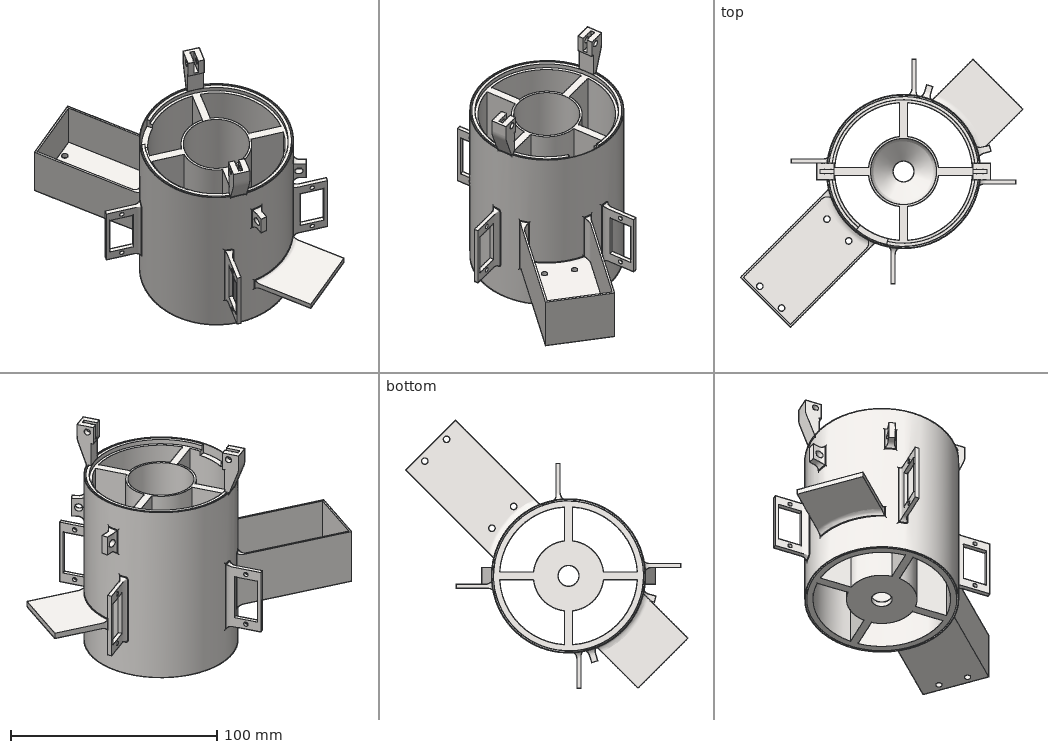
import cadquery as cq
import math

body_height = 92.0
bore_diameter = 66.7
tube_diameter = 72.8
skin_diameter = 74.8
skin_wall = 0.3
rim_inner_diameter = 69.6
rim_step = 2.3
ledge_height = body_height - rim_step
notch_start = 231.0
notch_end = 257.0
notch_depth = 4.7
root_diameter = (bore_diameter + tube_diameter) / 2
root_fillet = 4.0

nozzle_bore = 32.0
nozzle_diameter = 34.3
throat_diameter = 10.0
throat_length = 3.0
cone_slope = 43.0
cone_fillet = 5.0
spoke_width = 4.0

frame_thickness = 2.0
frame_offset = 5.1
frame_reach = 54.5
frame_height = 33.2
frame_center_z = 35.5
window_center = 46.7
window_length = 12.0
window_height = 22.7
frame_hole = 2.2
frame_hole_spacing = 27.7

tray_angle = 225.0
tray_reach = 92.2
tray_width = 34.3
tray_offset = -2.5
tray_bottom = 22.2
tray_height = 27.7
tray_wall = 1.0
floor_thickness = 3.0
tray_hole = 3.0
tray_hole_inner = 42.6
tray_hole_outer = 88.7
tray_hole_spacing = 15.0
shelf_reach = 62.4

lug_angles = (15.0, 73.0)
lug_reach = 43.6
lug_width = 3.2
lug_height = 9.9
lug_center_z = 72.0
lug_hole = 4.0
lug_hole_radius = 40.0

post_top = 113.3
post_width = 8.2
post_outer = 42.2
post_head_inner = 33.7
post_head_bottom = 104.2
post_slope_top = 105.1
post_slope_bottom = 89.4
post_bend = 10.0
slot_width = 2.0
slot_reach = 40.5
slot_depth = 8.0
hinge_hole = 3.2
hinge_radius = 36.9
hinge_z = 110.2


def cylinder(diameter, height, base=0.0):
    return cq.Workplane("XY").workplane(offset=base).circle(diameter / 2).extrude(height)


def ring(outer, inner, height, base=0.0):
    return cylinder(outer, height, base).cut(cylinder(inner, height, base))


def block(x_range, y_center, width, z_range):
    length = x_range[1] - x_range[0]
    height = z_range[1] - z_range[0]
    return cq.Workplane("XY").box(length, width, height, centered=(False, True, False)).translate(
        (x_range[0], y_center, z_range[0])
    )


def cross_hole(diameter, x, z):
    """Cylinder along Y, long enough to pass through any attached feature."""
    return (
        cq.Workplane("XZ").center(x, z).circle(diameter / 2).extrude(tray_width, both=True)
    )


def turned(shape, angle):
    return shape.rotate((0, 0, 0), (0, 0, 1), angle)


def window_frame():
    """Upright plate pointing along +X with a window and a screw hole above and below it."""
    z_low = frame_center_z - frame_height / 2
    plate = block((0, frame_reach), -frame_offset, frame_thickness, (z_low, z_low + frame_height))
    window_x = (window_center - window_length / 2, window_center + window_length / 2)
    window_z = (frame_center_z - window_height / 2, frame_center_z + window_height / 2)
    plate = plate.cut(block(window_x, -frame_offset, 2 * frame_thickness, window_z))
    for side in (-1, 1):
        hole_z = frame_center_z + side * frame_hole_spacing / 2
        plate = plate.cut(cross_hole(frame_hole, window_center, hole_z))
    return plate


def tray_hollow():
    """Space inside the tray, with rounded edges where it meets the tube."""
    hollow = block(
        (0, tray_reach - tray_wall),
        tray_offset,
        tray_width - 2 * tray_wall,
        (tray_bottom + floor_thickness, tray_bottom + tray_height + root_fillet),
    ).cut(cylinder(tube_diameter, body_height))
    corners = [edge for edge in hollow.edges("<Z or |Z").vals() if is_root_edge(edge)]
    floor_edge = [edge for edge in hollow.faces("<Z").edges().vals() if is_root_edge(edge)]
    return hollow.newObject(corners + floor_edge).fillet(root_fillet)


def tray_holes():
    hole_points = [
        (x, tray_offset + side * tray_hole_spacing / 2)
        for x in (tray_hole_inner, tray_hole_outer)
        for side in (-1, 1)
    ]
    return (
        cq.Workplane("XY").pushPoints(hole_points).circle(tray_hole / 2).extrude(body_height)
    )


def outward_block(reach, bottom, height):
    """Solid block as wide as the tray, pointing along +X."""
    return block((0, reach), tray_offset, tray_width, (bottom, bottom + height))


def lug():
    z_range = (lug_center_z - lug_height / 2, lug_center_z + lug_height / 2)
    return block((0, lug_reach), 0, lug_width, z_range)


def lug_cross_hole():
    """Pin hole of a lug at +X, limited to the width of the rounded root."""
    length = lug_width + 4 * root_fillet
    return cq.Workplane("XZ").center(lug_hole_radius, lug_center_z).circle(lug_hole / 2).extrude(
        length / 2, both=True
    )


def hinge_post():
    """Post standing on the rim at +X: slanted back, square head with a slot and a pin hole."""
    rim_inner = rim_inner_diameter / 2
    profile = [
        (rim_inner, post_slope_bottom),
        (rim_inner, post_head_bottom),
        (post_head_inner, post_head_bottom),
        (post_head_inner, post_top),
        (post_outer, post_top),
        (post_outer, post_slope_top),
        (tube_diameter / 2, post_slope_bottom),
    ]
    post = cq.Workplane("XZ").polyline(profile).close().extrude(post_width / 2, both=True)
    bend = cq.selectors.NearestToPointSelector((post_outer, 0, post_slope_top))
    post = post.edges("|Y").edges(bend).fillet(post_bend)
    slot = block((post_head_inner, slot_reach), 0, slot_width, (post_top - slot_depth, post_top))
    return post.cut(slot).cut(cross_hole(hinge_hole, hinge_radius, hinge_z))


def is_root_edge(edge):
    """True for an edge where an attached feature meets the outside of the tube."""
    on_tube = all(
        abs(math.hypot(p.x, p.y) - tube_diameter / 2) < 0.001
        for p in (edge.positionAt(t) for t in (0, 0.25, 0.5, 0.75, 1))
    )
    middle = edge.Center()
    on_seam = middle.x > 0 and abs(middle.y) < 0.001 and edge.geomType() == "LINE"
    inside_height = 0.001 < middle.z < body_height - 0.001
    return on_tube and inside_height and not on_seam


def nozzle():
    """Tube closed at its lower end by a rounded funnel that leads to the throat."""
    bore = nozzle_bore / 2
    throat = throat_diameter / 2
    funnel_top = throat_length + (bore - throat) * math.tan(math.radians(cone_slope))
    flow = (
        cq.Workplane("XZ")
        .polyline([
            (0, 0),
            (throat, 0),
            (throat, throat_length),
            (bore, funnel_top),
            (bore, ledge_height),
            (0, ledge_height),
        ])
        .close()
        .revolve(360, (0, 0), (0, 1))
    )
    funnel_rim = cq.selectors.BoxSelector(
        (-bore, -bore, funnel_top - 0.1), (bore, bore, funnel_top + 0.1)
    )
    flow = flow.edges("%CIRCLE").edges(funnel_rim).fillet(cone_fillet)
    return cylinder(nozzle_diameter, ledge_height).cut(flow)


def spoke():
    inner = (nozzle_bore + nozzle_diameter) / 4
    return block((inner, root_diameter / 2), 0, spoke_width, (0, ledge_height))


def rim_notch():
    """Sector of the tube wall, cut from the top inside the skin."""
    base = body_height - notch_depth
    start = math.radians(notch_start)
    end = math.radians(notch_end)
    sector = (
        cq.Workplane("XY")
        .workplane(offset=base)
        .polyline([
            (0, 0),
            (skin_diameter * math.cos(start), skin_diameter * math.sin(start)),
            (skin_diameter * math.cos(end), skin_diameter * math.sin(end)),
        ])
        .close()
        .extrude(notch_depth)
    )
    return sector.intersect(ring(tube_diameter, bore_diameter, notch_depth, base))


body = cylinder(tube_diameter, body_height)
for angle in (0, 90, 180, 270):
    body = body.union(turned(window_frame(), angle))
for angle in lug_angles:
    body = body.union(turned(lug(), angle))
body = body.union(turned(outward_block(tray_reach, tray_bottom, tray_height), tray_angle))
body = body.union(turned(outward_block(shelf_reach, tray_bottom, floor_thickness), tray_angle - 180))
root_edges = [edge for edge in body.edges().vals() if is_root_edge(edge)]
body = body.newObject(root_edges).fillet(root_fillet)

body = body.cut(turned(tray_hollow(), tray_angle)).cut(turned(tray_holes(), tray_angle))
for angle in lug_angles:
    body = body.cut(turned(lug_cross_hole(), angle))

body = body.cut(cylinder(bore_diameter, body_height))
body = body.cut(cylinder(rim_inner_diameter, rim_step, ledge_height))
body = body.cut(rim_notch())

for angle in (0, 180):
    body = body.union(turned(hinge_post(), angle))
for angle in (0, 90, 180, 270):
    body = body.union(turned(spoke(), angle))
body = body.union(nozzle())
body = body.union(ring(skin_diameter, skin_diameter - 2 * skin_wall, body_height))

result = body